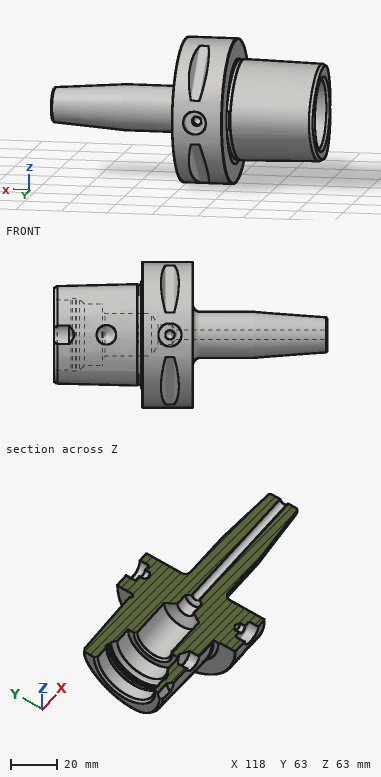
import cadquery as cq
import math


SHANK_LENGTH = 38.0
MEAN_DIAMETER = 44.0
LOBE_HEIGHT = 1.4
LOBES = 3
TAPER = 1 / 20
LOBE_HALF_ANGLE = 26.0
TIP_CHAMFER_LENGTH = 1.5
TIP_CHAMFER_HEIGHT = 0.8
NECK_LENGTH = 2.2
NECK_RADIUS = 22.7
NECK_INSET = 0.25

FLANGE_RADIUS = 31.5
FLANGE_LENGTH = 22.0
FLANGE_CHAMFER = 0.3
COLLAR_ROOT_RADIUS = 24.2
COLLAR_FACE_RADIUS = 22.8
COLLAR_HEIGHT = 0.4
COLLAR_FLARE_RADIUS = 2.5

NOSE_END = 80.0
NOSE_RADIUS = 10.0
NOSE_TAPER_START = 48.3
NOSE_END_RADIUS = 7.65
NOSE_CHAMFER = 0.7
NOSE_FILLET = 3.0

MOUTH_RADIUS = 16.3
BORE_RADIUS = 15.1
MOUTH_DEPTH = MOUTH_RADIUS - BORE_RADIUS
GROOVE_RADIUS = 15.6
GROOVE_START = 7.4
GROOVE_LENGTH = 2.4
GROOVE_BEVEL = GROOVE_RADIUS - BORE_RADIUS
SEAT_DEPTH = 11.0
SEAT_RADIUS = 14.4
SEAT_LENGTH = 1.0
INNER_RADIUS = 13.3
INNER_BEVEL = SEAT_RADIUS - INNER_RADIUS
FLOOR_DEPTH = 21.0
WELL_MOUTH_RADIUS = 10.25
WELL_RADIUS = 9.15
WELL_DEPTH = 42.0
WELL_END_RADIUS = 4.25
STEP_RADIUS = 3.0
STEP_LENGTH = 6.0
COOLANT_RADIUS = 2.0
DRILL_POINT_SLOPE = math.tan(math.radians(59))

SLOT_COUNT = 4
FLANGE_FEATURES_X = 12.0
SLOT_FLOOR_WIDTH = 3.7
SLOT_FLOOR_RADIUS = 28.0
SLOT_FLANK_ANGLE = 30.0
SLOT_FILLET = 0.7

TIP_NOTCH_RADIUS = 5.3
TIP_NOTCH_OFFSET = 23.0
TIP_NOTCH_LENGTH = 6.5
DIMPLE_RADIUS = 4.2
DIMPLE_CENTER = -15.4
DIMPLE_OUTER = 21.5
DIMPLE_FLOOR = 15.2
POCKET_RADIUS = 5.0
POCKET_FLOOR = 26.6
POCKET_FILLET = 0.4
PILOT_RADIUS = 2.0
PILOT_FLOOR = 24.0

OUTSIDE_RADIUS = FLANGE_RADIUS + 1.0


def polygon_point(mean_radius, angle):
    """Point (y, z) of the polygon whose outward normal has the given direction."""
    support = mean_radius + LOBE_HEIGHT * math.cos(LOBES * angle)
    slope = -LOBES * LOBE_HEIGHT * math.sin(LOBES * angle)
    y = support * math.cos(angle) - slope * math.sin(angle)
    z = support * math.sin(angle) + slope * math.cos(angle)
    return y, z


def polygon_wire(x, inset=0.0):
    """Closed polygon section at x: a lobe curve and a flank curve per lobe."""
    mean_radius = (MEAN_DIAMETER + TAPER * x) / 2 - inset
    samples = 12
    pitch = 360 / LOBES
    edges = []
    for lobe in range(LOBES):
        middle = lobe * pitch
        lobe_start = middle - LOBE_HALF_ANGLE
        lobe_end = middle + LOBE_HALF_ANGLE
        for start, end in ((lobe_start, lobe_end), (lobe_end, lobe_start + pitch)):
            angles = [math.radians(start + (end - start) * i / samples) for i in range(samples + 1)]
            points = [cq.Vector(x, *polygon_point(mean_radius, angle)) for angle in angles]
            edges.append(cq.Edge.makeSpline(points))
    return cq.Wire.assembleEdges(edges)


def ruled(*wires):
    return cq.Workplane(cq.Solid.makeLoft(list(wires), True))


def turned(points):
    """Solid of revolution about X from (x, radius) points."""
    return cq.Workplane("XY").polyline(points).close().revolve(360, (0, 0, 0), (1, 0, 0))


def radial_drill(x, radius, outer, floor):
    """Drill along +Y at the -Y side, from y = -outer to a full-width depth of y = -floor."""
    profile = [(x, -outer), (x + radius, -outer), (x + radius, -floor),
               (x, -floor + radius / DRILL_POINT_SLOPE)]
    return cq.Workplane("XY").polyline(profile).close().revolve(360, (x, 0, 0), (x, 1, 0))


def make_shank():
    """Tapered polygon with a chamfered tip and a slightly smaller, untapered neck."""
    tip = -SHANK_LENGTH
    chamfer_end = tip + TIP_CHAMFER_LENGTH
    chamfer = ruled(polygon_wire(tip, TIP_CHAMFER_HEIGHT), polygon_wire(chamfer_end))
    taper = ruled(polygon_wire(chamfer_end), polygon_wire(-NECK_LENGTH))
    step = ruled(polygon_wire(-NECK_LENGTH), polygon_wire(-NECK_LENGTH + NECK_INSET, NECK_INSET))
    neck = ruled(polygon_wire(-NECK_LENGTH + NECK_INSET, NECK_INSET), polygon_wire(0, NECK_INSET))
    return chamfer.union(taper).union(step).union(neck)


def make_neck_cutter():
    """Ring that turns the lobes down to the neck radius."""
    lobe_radius = MEAN_DIAMETER / 2 + LOBE_HEIGHT
    lead_in = lobe_radius - NECK_RADIUS
    return turned([
        (-NECK_LENGTH, lobe_radius),
        (-NECK_LENGTH + lead_in, NECK_RADIUS),
        (0, NECK_RADIUS),
        (0, lobe_radius),
    ])


def make_flange_and_nose():
    return (
        cq.Workplane("XY")
        .moveTo(-COLLAR_HEIGHT, 0)
        .lineTo(-COLLAR_HEIGHT, COLLAR_FACE_RADIUS)
        .radiusArc((0, COLLAR_ROOT_RADIUS), -COLLAR_FLARE_RADIUS)
        .lineTo(0, FLANGE_RADIUS - FLANGE_CHAMFER)
        .lineTo(FLANGE_CHAMFER, FLANGE_RADIUS)
        .lineTo(FLANGE_LENGTH - FLANGE_CHAMFER, FLANGE_RADIUS)
        .lineTo(FLANGE_LENGTH, FLANGE_RADIUS - FLANGE_CHAMFER)
        .lineTo(FLANGE_LENGTH, NOSE_RADIUS + NOSE_FILLET)
        .radiusArc((FLANGE_LENGTH + NOSE_FILLET, NOSE_RADIUS), -NOSE_FILLET)
        .lineTo(NOSE_TAPER_START, NOSE_RADIUS)
        .lineTo(NOSE_END - NOSE_CHAMFER, NOSE_END_RADIUS)
        .lineTo(NOSE_END, NOSE_END_RADIUS - NOSE_CHAMFER)
        .lineTo(NOSE_END, 0)
        .close()
        .revolve(360, (0, 0, 0), (1, 0, 0))
    )


def make_bore():
    steps = [
        (0, 0),
        (0, MOUTH_RADIUS),
        (MOUTH_DEPTH, BORE_RADIUS),
        (GROOVE_START, BORE_RADIUS),
        (GROOVE_START + GROOVE_BEVEL, GROOVE_RADIUS),
        (GROOVE_START + GROOVE_LENGTH - GROOVE_BEVEL, GROOVE_RADIUS),
        (GROOVE_START + GROOVE_LENGTH, BORE_RADIUS),
        (SEAT_DEPTH, BORE_RADIUS),
        (SEAT_DEPTH + SEAT_LENGTH, SEAT_RADIUS),
        (SEAT_DEPTH + SEAT_LENGTH + INNER_BEVEL, INNER_RADIUS),
        (FLOOR_DEPTH, INNER_RADIUS),
        (FLOOR_DEPTH, WELL_MOUTH_RADIUS),
        (FLOOR_DEPTH + WELL_MOUTH_RADIUS - WELL_RADIUS, WELL_RADIUS),
        (WELL_DEPTH, WELL_RADIUS),
        (WELL_DEPTH + (WELL_RADIUS - WELL_END_RADIUS) / DRILL_POINT_SLOPE, WELL_END_RADIUS),
    ]
    step_start = steps[-1][0] + STEP_LENGTH
    step_end = step_start + (WELL_END_RADIUS - STEP_RADIUS) / DRILL_POINT_SLOPE
    total = SHANK_LENGTH + NOSE_END
    steps += [
        (step_start, WELL_END_RADIUS),
        (step_end, STEP_RADIUS),
        (step_end + (STEP_RADIUS - COOLANT_RADIUS), COOLANT_RADIUS),
        (total, COOLANT_RADIUS),
        (total, 0),
    ]
    return turned([(depth - SHANK_LENGTH, radius) for depth, radius in steps])


def make_gripper_slot(angle):
    half_floor = SLOT_FLOOR_WIDTH / 2
    rise = OUTSIDE_RADIUS - SLOT_FLOOR_RADIUS
    half_top = half_floor + rise * math.tan(math.radians(SLOT_FLANK_ANGLE))
    return (
        cq.Workplane("XZ")
        .polyline([
            (FLANGE_FEATURES_X - half_floor, SLOT_FLOOR_RADIUS),
            (FLANGE_FEATURES_X + half_floor, SLOT_FLOOR_RADIUS),
            (FLANGE_FEATURES_X + half_top, OUTSIDE_RADIUS),
            (FLANGE_FEATURES_X - half_top, OUTSIDE_RADIUS),
        ])
        .close()
        .extrude(FLANGE_RADIUS, both=True)
        .faces("<Z")
        .edges("|Y")
        .fillet(SLOT_FILLET)
        .rotate((0, 0, 0), (1, 0, 0), angle)
    )


def make_tip_notch():
    """Notch along X with a 45 degree conical end that breaks through the flank at the tip."""
    tip = -SHANK_LENGTH
    full_end = tip + TIP_NOTCH_LENGTH
    axis = -TIP_NOTCH_OFFSET
    profile = [
        (tip, axis),
        (tip, axis + TIP_NOTCH_RADIUS),
        (full_end, axis + TIP_NOTCH_RADIUS),
        (full_end + TIP_NOTCH_RADIUS, axis),
    ]
    return cq.Workplane("XY").polyline(profile).close().revolve(360, (0, axis, 0), (1, axis, 0))


def make_flange_hole():
    """Flat-bottomed pocket with a pilot hole at the -Y side of the flange."""
    pilot = radial_drill(FLANGE_FEATURES_X, PILOT_RADIUS, OUTSIDE_RADIUS, PILOT_FLOOR)
    pocket = (
        cq.Workplane("XZ", origin=(FLANGE_FEATURES_X, -POCKET_FLOOR, 0))
        .circle(POCKET_RADIUS)
        .extrude(OUTSIDE_RADIUS - POCKET_FLOOR)
        .faces(">Y")
        .fillet(POCKET_FILLET)
    )
    return pocket.union(pilot)


result = make_shank().cut(make_neck_cutter())
result = result.union(make_flange_and_nose())
result = result.cut(make_bore())
for index in range(SLOT_COUNT):
    result = result.cut(make_gripper_slot((index + 0.5) * 360 / SLOT_COUNT))
result = result.cut(make_tip_notch())
result = result.cut(radial_drill(DIMPLE_CENTER, DIMPLE_RADIUS, DIMPLE_OUTER, DIMPLE_FLOOR))
for side_angle in (0, 180):
    result = result.cut(make_flange_hole().rotate((0, 0, 0), (1, 0, 0), side_angle))